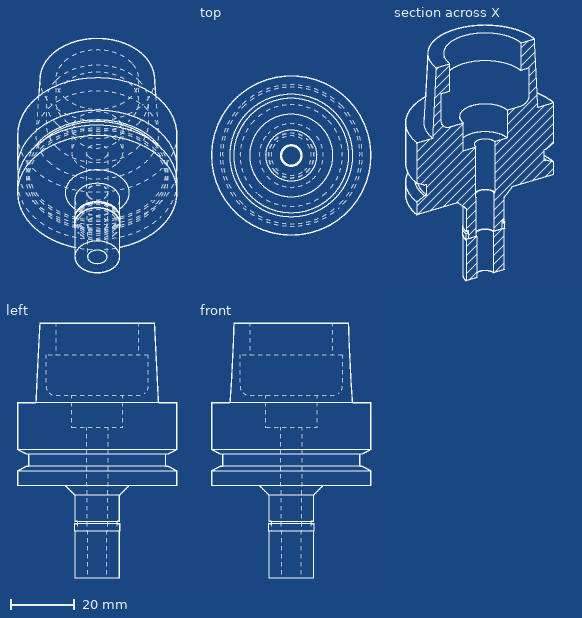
import cadquery as cq

TAPER_LENGTH = 25.0
TAPER_TOP_RADIUS = 18.0
TAPER_BASE_RADIUS = 19.25
FLANGE_RADIUS = 25.0
FLANGE_BOTTOM = -26.0

GROOVE_CENTRE = -18.0
GROOVE_FLOOR_RADIUS = 21.5
GROOVE_FLOOR_WIDTH = 3.75
GROOVE_FLANK_RADIUS = 22.25
GROOVE_MOUTH_WIDTH = 6.7

CLAMP_BORE_RADIUS = 13.0
LIP_DEPTH = 10.0
UNDERCUT_RADIUS = 16.0
UNDERCUT_WALL_DEPTH = 19.75
UNDERCUT_CORNER = UNDERCUT_RADIUS - CLAMP_BORE_RADIUS
TUBE_BORE_RADIUS = 8.0
TUBE_BORE_LENGTH = 10.0

HOLDER_BORE_RADIUS = 3.4
SHANK_BORE_RADIUS = 3.2
SLEEVE_BORE_RADIUS = 3.0

FLARE_RADIUS = 10.0
FLARE_HEIGHT = 3.0
SHANK_RADIUS = 7.0
SHANK_LENGTH = 11.2
NECK_RADIUS = 6.25

RING_RADIUS = 7.15
RING_GAP = 0.7
RING_HEIGHT = 2.25

SLEEVE_BOTTOM = -55.0

SHANK_BOTTOM = FLANGE_BOTTOM - SHANK_LENGTH
RING_TOP = SHANK_BOTTOM - RING_GAP
RING_BOTTOM = RING_TOP - RING_HEIGHT

PROFILE_PLANE = cq.Plane(origin=(0, 0, 0), xDir=(0, -1, 0), normal=(-1, 0, 0))


def start_profile(radius, z):
    """Begin a turned profile at a point on the half plane."""
    return cq.Workplane(PROFILE_PLANE).moveTo(radius, z)


def revolve(profile):
    """Turn a closed (radius, z) profile once around the Z axis."""
    return profile.close().revolve(360, (0, 0, 0), (0, 1, 0))


def tube(outer_radius, inner_radius, top, bottom):
    """Tube on the Z axis between two heights; an inner radius of zero makes it solid."""
    return revolve(
        start_profile(inner_radius, top)
        .lineTo(outer_radius, top)
        .lineTo(outer_radius, bottom)
        .lineTo(inner_radius, bottom)
    )


def holder_blank():
    """Taper, flange, flare, shank and neck as one turned solid."""
    return revolve(
        start_profile(0, TAPER_LENGTH)
        .lineTo(TAPER_TOP_RADIUS, TAPER_LENGTH)
        .lineTo(TAPER_BASE_RADIUS, 0)
        .lineTo(FLANGE_RADIUS, 0)
        .lineTo(FLANGE_RADIUS, FLANGE_BOTTOM)
        .lineTo(FLARE_RADIUS, FLANGE_BOTTOM)
        .lineTo(SHANK_RADIUS, FLANGE_BOTTOM - FLARE_HEIGHT)
        .lineTo(SHANK_RADIUS, SHANK_BOTTOM)
        .lineTo(NECK_RADIUS, SHANK_BOTTOM)
        .lineTo(NECK_RADIUS, RING_BOTTOM)
        .lineTo(0, RING_BOTTOM)
    )


def gripper_groove():
    """Ring cutter: sloped flanks, then a straight-walled floor channel."""
    half_mouth = GROOVE_MOUTH_WIDTH / 2
    half_floor = GROOVE_FLOOR_WIDTH / 2
    return revolve(
        start_profile(FLANGE_RADIUS, GROOVE_CENTRE + half_mouth)
        .lineTo(GROOVE_FLANK_RADIUS, GROOVE_CENTRE + half_floor)
        .lineTo(GROOVE_FLOOR_RADIUS, GROOVE_CENTRE + half_floor)
        .lineTo(GROOVE_FLOOR_RADIUS, GROOVE_CENTRE - half_floor)
        .lineTo(GROOVE_FLANK_RADIUS, GROOVE_CENTRE - half_floor)
        .lineTo(FLANGE_RADIUS, GROOVE_CENTRE - half_mouth)
    )


def clamping_bore():
    """Cutter for the lipped bore, its undercut with a rounded corner, and the bores below."""
    lip_z = TAPER_LENGTH - LIP_DEPTH
    wall_end_z = TAPER_LENGTH - UNDERCUT_WALL_DEPTH
    floor_z = wall_end_z - UNDERCUT_CORNER
    cavity = revolve(
        start_profile(0, TAPER_LENGTH)
        .lineTo(CLAMP_BORE_RADIUS, TAPER_LENGTH)
        .lineTo(CLAMP_BORE_RADIUS, lip_z)
        .lineTo(UNDERCUT_RADIUS, lip_z)
        .lineTo(UNDERCUT_RADIUS, wall_end_z)
        .radiusArc((UNDERCUT_RADIUS - UNDERCUT_CORNER, floor_z), UNDERCUT_CORNER)
        .lineTo(0, floor_z)
    )
    tube_bore_end = floor_z - TUBE_BORE_LENGTH
    tube_bore = tube(TUBE_BORE_RADIUS, 0, floor_z, tube_bore_end)
    holder_bore = tube(HOLDER_BORE_RADIUS, 0, tube_bore_end, FLANGE_BOTTOM)
    shank_bore = tube(SHANK_BORE_RADIUS, 0, FLANGE_BOTTOM, RING_BOTTOM)
    return cavity.union(tube_bore).union(holder_bore).union(shank_bore)


def make_holder():
    """Turned holder with its groove and bores cut."""
    return holder_blank().cut(gripper_groove()).cut(clamping_bore())


def make_ring():
    """Ring around the holder neck, leaving a narrow gap under the shank."""
    return tube(RING_RADIUS, NECK_RADIUS, RING_TOP, RING_BOTTOM)


def make_sleeve():
    """Plain tube that continues the shank down to the bottom end."""
    return tube(SHANK_RADIUS, SLEEVE_BORE_RADIUS, RING_BOTTOM, SLEEVE_BOTTOM)


holder = make_holder()
ring = make_ring()
sleeve = make_sleeve()

result = cq.Compound.makeCompound([holder.val(), ring.val(), sleeve.val()])